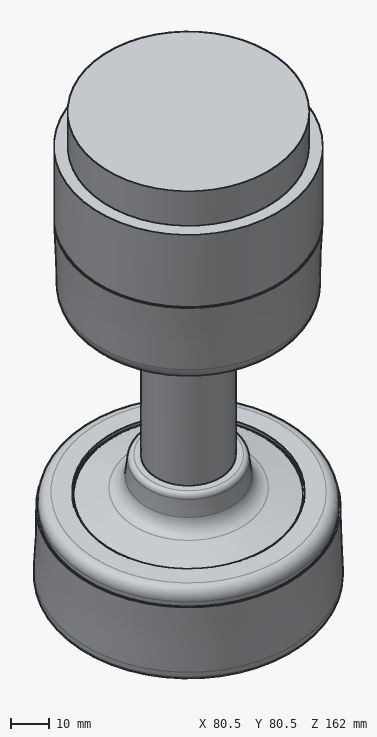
import cadquery as cq
import math

total_height = 162.0
foot_rim_z = 30.1
collar_top_z = 43.0
head_bottom_z = 97.8
head_shoulder_z = 150.0

foot_radius = 80.5 / 2
foot_edge_round = 1.5
foot_band_top_z = 3.0
skirt_top_z = 25.0
skirt_top_radius = 39.7
skirt_ledge = 0.5
rim_round = 3.5
rim_base_radius = skirt_top_radius - skirt_ledge
rim_top_radius = 35.8

groove_outer_radius = 60.5 / 2
groove_inner_radius = 59.6 / 2
groove_floor_z = 29.0
cover_edge_z = 29.3

collar_base_radius = 16.5
collar_base_z = 35.8
collar_top_radius = 15.9
collar_round = 1.6
flare_radius = 20.7
flare_z = 31.5

tube_radius = 24.8 / 2

head_radius = 70.0 / 2
head_groove_radius = 69.2 / 2
head_groove_z = 124.5
head_groove_width = 0.5
head_base_radius = 34.3
head_round = 4.9
cap_radius = 62.8 / 2

quarter = math.sqrt(0.5)


def revolve_about_z(profile):
    """Close a half section drawn in the XZ plane and turn it about the Z axis."""
    return profile.close().revolve(360, (0, 0, 0), (0, 1, 0))


def make_foot():
    """Weighted foot: tapered skirt, rounded rim, grooved cover and flared collar."""
    bottom_radius = foot_radius - foot_edge_round
    edge_mid = (
        bottom_radius + foot_edge_round * quarter,
        foot_edge_round * (1 - quarter),
    )
    rim_mid = (
        rim_top_radius + (rim_base_radius - rim_top_radius) * quarter,
        foot_rim_z - rim_round * (1 - quarter),
    )
    collar_mid = (
        collar_top_radius - collar_round * (1 - quarter),
        collar_top_z - collar_round * (1 - quarter),
    )
    profile = (
        cq.Workplane("XZ")
        .lineTo(bottom_radius, 0)
        .threePointArc(edge_mid, (foot_radius, foot_edge_round))
        .lineTo(foot_radius, foot_band_top_z)
        .lineTo(skirt_top_radius, skirt_top_z)
        .lineTo(rim_base_radius, skirt_top_z)
        .lineTo(rim_base_radius, foot_rim_z - rim_round)
        .threePointArc(rim_mid, (rim_top_radius, foot_rim_z))
        .lineTo(groove_outer_radius, foot_rim_z)
        .lineTo(groove_outer_radius, groove_floor_z)
        .lineTo(groove_inner_radius, groove_floor_z)
        .lineTo(groove_inner_radius, cover_edge_z)
        .lineTo(flare_radius, flare_z)
        .tangentArcPoint((collar_base_radius, collar_base_z), relative=False)
        .lineTo(collar_top_radius, collar_top_z - collar_round)
        .threePointArc(collar_mid, (collar_top_radius - collar_round, collar_top_z))
        .lineTo(0, collar_top_z)
    )
    return revolve_about_z(profile)


def make_tube():
    """Round tube standing on the collar and carrying the head."""
    length = head_bottom_z - collar_top_z
    return cq.Workplane("XY").workplane(offset=collar_top_z).circle(tube_radius).extrude(length)


def make_head():
    """Signal head: tapered lower shell, thin groove, straight upper shell and cap."""
    groove_top_z = head_groove_z + head_groove_width
    bottom_radius = head_base_radius - head_round
    round_mid = (
        bottom_radius + head_round * quarter,
        head_bottom_z + head_round * (1 - quarter),
    )
    profile = (
        cq.Workplane("XZ")
        .moveTo(0, head_bottom_z)
        .lineTo(bottom_radius, head_bottom_z)
        .threePointArc(round_mid, (head_base_radius, head_bottom_z + head_round))
        .lineTo(head_radius, head_groove_z)
        .lineTo(head_groove_radius, head_groove_z)
        .lineTo(head_groove_radius, groove_top_z)
        .lineTo(head_radius, groove_top_z)
        .lineTo(head_radius, head_shoulder_z)
        .lineTo(cap_radius, head_shoulder_z)
        .lineTo(cap_radius, total_height)
        .lineTo(0, total_height)
    )
    return revolve_about_z(profile)


foot = make_foot()
tube = make_tube()
head = make_head()

result = cq.Compound.makeCompound([foot.val(), tube.val(), head.val()])